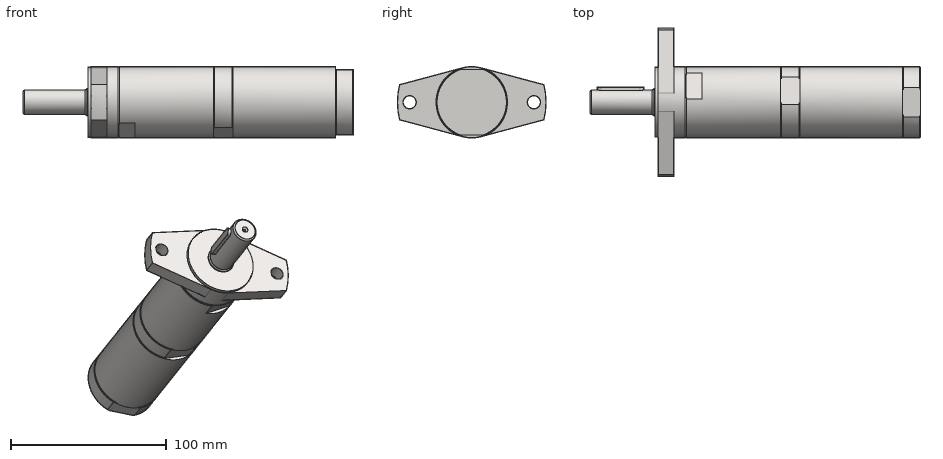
import cadquery as cq
import math

total_length = 212.5
body_diameter = 46.0
body_radius = body_diameter / 2
groove_diameter = 45.0

shaft_diameter = 16.0
shaft_tip_diameter = 13.8
shaft_tip_bevel_length = 0.8
collar_diameter = 17.5
collar_cone_start = 40.0
collar_start = 41.0
center_hole_diameter = 1.6
center_hole_depth = 4.2
countersink_diameter = 3.8

key_start = 4.7
key_length = 30.0
key_width = 5.0
key_height = 9.8
key_floor = 5.0

pilot_diameter = 45.0
pilot_start = 41.6
flange_start = 43.8
flange_thickness = 10.2
flange_span = 95.6
flange_taper = math.radians(15)
mount_hole_diameter = 8.3
mount_hole_offset = 40.0

groove_width = 0.6
front_groove_start = 61.0
front_groove_width = 1.0
ring_start = 122.6
ring_end = 135.2
end_cap_start = 201.0

pocket_start = 61.6
pocket_length = 10.5
pocket_across = 41.6
pocket_tilt = 30.0
wrench_across = 41.9
ring_flat_tilt = 20.5
cap_edge_chamfer = 0.6


def cylinder(diameter, start, end):
    """Round bar on the part axis between two X stations."""
    return cq.Workplane("YZ", origin=(start, 0, 0)).circle(diameter / 2).extrude(end - start)


def make_shaft():
    """Shaft with a beveled tip, a coned collar and a countersunk center hole."""
    shaft = (
        cq.Workplane("XY")
        .moveTo(0, 0)
        .lineTo(0, shaft_tip_diameter / 2)
        .lineTo(shaft_tip_bevel_length, shaft_diameter / 2)
        .lineTo(collar_cone_start, shaft_diameter / 2)
        .lineTo(collar_start, collar_diameter / 2)
        .lineTo(pilot_start, collar_diameter / 2)
        .lineTo(pilot_start, 0)
        .close()
        .revolve(360, (0, 0, 0), (1, 0, 0))
    )
    countersink_depth = (countersink_diameter - center_hole_diameter) / 2
    center_hole = (
        cq.Workplane("XY")
        .moveTo(0, 0)
        .lineTo(0, countersink_diameter / 2)
        .lineTo(countersink_depth, center_hole_diameter / 2)
        .lineTo(center_hole_depth, center_hole_diameter / 2)
        .lineTo(center_hole_depth, 0)
        .close()
        .revolve(360, (0, 0, 0), (1, 0, 0))
    )
    return shaft.cut(center_hole)


def make_key():
    """Round-ended key standing out of the shaft toward +Y."""
    return (
        cq.Workplane("XZ", origin=(key_start + key_length / 2, key_floor, 0))
        .slot2D(key_length, key_width)
        .extrude(key_floor - key_height)
    )


def make_flange():
    """Two-hole flange: tapered sides tangent to the body, ends rounded about the axis."""
    tangent_y = body_radius * math.sin(flange_taper)
    tangent_z = body_radius * math.cos(flange_taper)
    end_radius = flange_span / 2
    corner_angle = math.pi / 2 - flange_taper - math.acos(body_radius / end_radius)
    corner_y = end_radius * math.cos(corner_angle)
    corner_z = end_radius * math.sin(corner_angle)
    flange = (
        cq.Workplane("YZ", origin=(flange_start, 0, 0))
        .moveTo(tangent_y, tangent_z)
        .lineTo(corner_y, corner_z)
        .threePointArc((end_radius, 0), (corner_y, -corner_z))
        .lineTo(tangent_y, -tangent_z)
        .lineTo(-tangent_y, -tangent_z)
        .lineTo(-corner_y, -corner_z)
        .threePointArc((-end_radius, 0), (-corner_y, corner_z))
        .lineTo(-tangent_y, tangent_z)
        .close()
        .extrude(flange_thickness)
    )
    mount_holes = (
        cq.Workplane("YZ", origin=(flange_start, 0, 0))
        .pushPoints([(-mount_hole_offset, 0), (mount_hole_offset, 0)])
        .circle(mount_hole_diameter / 2)
        .extrude(flange_thickness)
    )
    return flange.cut(mount_holes)


def joint_groove(start, width):
    """Ring to be cut from the housing surface."""
    end = start + width
    return cylinder(body_diameter, start, end).cut(cylinder(groove_diameter, start, end))


def make_body():
    """Round housing with a chamfered rear edge and joint grooves."""
    body = cylinder(body_diameter, flange_start, total_length)
    body = body.faces(">X").edges().chamfer(cap_edge_chamfer)
    body = body.cut(joint_groove(front_groove_start, front_groove_width))
    for start in (ring_start, ring_end - groove_width, end_cap_start):
        body = body.cut(joint_groove(start, groove_width))
    return body


def opposite_flats(start, end, across, tilt):
    """Cutters leaving two parallel flats; tilt turns their normals from Z toward +Y."""
    middle = (start + end) / 2
    cutters = cq.Workplane("XY")
    for side in (-1, 1):
        cutters = cutters.add(
            cq.Workplane("XY")
            .box(end - start, body_diameter, body_radius)
            .translate((middle, 0, side * (across + body_radius) / 2))
        )
    return cutters.combine().rotate((0, 0, 0), (1, 0, 0), -tilt)


pilot = cylinder(pilot_diameter, pilot_start, flange_start)

result = make_body().union(make_flange()).union(pilot).union(make_shaft()).union(make_key())
result = result.cut(opposite_flats(pocket_start, pocket_start + pocket_length, pocket_across, pocket_tilt))
result = result.cut(opposite_flats(ring_start, ring_end, wrench_across, ring_flat_tilt))
result = result.cut(opposite_flats(end_cap_start, total_length, wrench_across, 0))